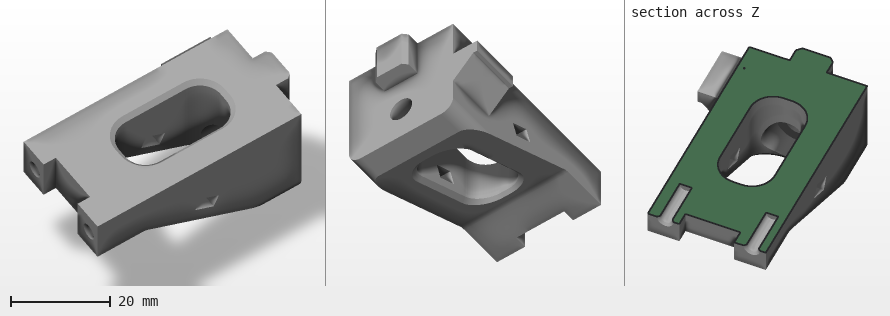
import cadquery as cq
import math


body_width = 26.0
body_length = 49.7
body_height = 25.0
thin_end_height = 10.0
ramp_length = 32.0
heel_length = 6.0
heel_corner_radius = 3.0
ramp_blend_radius = 3.0
mid_x = body_width / 2
ramp_angle = math.degrees(math.atan((body_height - thin_end_height) / ramp_length))
ramp_start_y = body_length - heel_length - ramp_length

window_width = 12.0
window_corner_radius = 5.0
window_start_y = 15.0
wall_behind_window = 10.0
window_chamfer = 1.0
window_end_y = body_length - wall_behind_window
window_length = window_end_y - window_start_y

notch_width = window_width
notch_depth = 3.0

tongue_width = 8.2
tongue_length = 4.0
tongue_height = 9.0
tongue_chamfer = 1.0

lug_reach = 6.0
lug_length = 12.0
lug_top_drop = 9.0
lug_lip_drop = 12.0
lug_lip_width = 1.0
lug_root_drop = lug_lip_drop + lug_reach - lug_lip_width

bolt_diameter = 5.5
bolt_head_diameter = 10.0
bolt_head_depth = 5.0
bolt_drop = 17.0

screw_diameter = 2.6
screw_mouth_diameter = 3.6
screw_depth = 10.0
screw_drop = thin_end_height / 2
screw_positions_x = (3.9, 22.9)

cross_slot_length = 5.0
cross_slot_height = 3.0
cross_slot_y = body_length - 23.0
cross_slot_drop = 12.1


def make_body():
    """Block with a ramped underside, rounded lower edges and a soft crease at the ramp start."""
    block = (
        cq.Workplane("YZ")
        .polyline([
            (0, 0),
            (body_length, 0),
            (body_length, -body_height),
            (body_length - heel_length, -body_height),
            (ramp_start_y, -thin_end_height),
            (0, -thin_end_height),
        ])
        .close()
        .extrude(body_width)
    )
    ramp_crease = cq.selectors.NearestToPointSelector((mid_x, ramp_start_y, -thin_end_height))
    block = block.edges(ramp_crease).fillet(ramp_blend_radius)
    heel_sides = block.faces("<Z").edges("|Y")
    return heel_sides.fillet(heel_corner_radius)


def cut_window(body):
    """Cut the rounded window through the full height and chamfer both of its mouths."""
    window = (
        cq.Workplane("XY")
        .box(window_width, window_length, body_height, centered=(True, False, False))
        .edges("|Z")
        .fillet(window_corner_radius)
        .translate((mid_x, window_start_y, -body_height))
    )
    around_window = cq.selectors.BoxSelector(
        (mid_x - window_width / 2 - window_chamfer, window_start_y - window_chamfer, -body_height),
        (mid_x + window_width / 2 + window_chamfer, window_end_y + window_chamfer, window_chamfer),
    )
    vertical = cq.selectors.ParallelDirSelector(cq.Vector(0, 0, 1))
    return body.cut(window).edges(around_window - vertical).chamfer(window_chamfer)


def make_notch():
    """Cutter for the open notch in the middle of the thin end."""
    notch = cq.Workplane("XY").box(
        notch_width, notch_depth, body_height, centered=(True, False, False)
    )
    return notch.translate((mid_x, 0, -body_height))


def make_tongue():
    """Tongue on the tall end, flush with the top, with chamfered outer corners."""
    return (
        cq.Workplane("XY")
        .box(tongue_width, tongue_length, tongue_height, centered=(True, False, False))
        .edges("|Z and >Y")
        .chamfer(tongue_chamfer)
        .translate((mid_x, body_length, -tongue_height))
    )


def make_lug():
    """Side lug, flush with the tall end, with a sloped underside behind a flat lip."""
    return (
        cq.Workplane("XZ", origin=(0, body_length, 0))
        .polyline([
            (0, -lug_top_drop),
            (-lug_reach, -lug_top_drop),
            (-lug_reach, -lug_lip_drop),
            (-lug_reach + lug_lip_width, -lug_lip_drop),
            (0, -lug_root_drop),
        ])
        .close()
        .extrude(lug_length)
    )


def make_bolt_hole():
    """Cutter for the bolt hole with its head recess opening into the window."""
    head_seat_y = window_end_y + bolt_head_depth
    shank = (
        cq.Workplane("XZ", origin=(mid_x, body_length, -bolt_drop))
        .circle(bolt_diameter / 2)
        .extrude(wall_behind_window)
    )
    head = (
        cq.Workplane("XZ", origin=(mid_x, head_seat_y, -bolt_drop))
        .circle(bolt_head_diameter / 2)
        .extrude(bolt_head_depth + window_corner_radius)
    )
    return shank.union(head)


def make_screw_hole(x):
    """Cutter for a blind screw hole in the thin end with a 45 degree countersunk mouth."""
    countersink_depth = (screw_mouth_diameter - screw_diameter) / 2
    return (
        cq.Workplane("XY")
        .polyline([
            (0, 0),
            (screw_mouth_diameter / 2, 0),
            (screw_diameter / 2, countersink_depth),
            (screw_diameter / 2, screw_depth),
            (0, screw_depth),
        ])
        .close()
        .revolve(360, (0, 0, 0), (0, 1, 0))
        .translate((x, 0, -screw_drop))
    )


def make_cross_slot():
    """Cutter for the rectangular slot across the full width, tilted parallel to the ramp."""
    return (
        cq.Workplane("YZ", origin=(0, cross_slot_y, -cross_slot_drop))
        .transformed(rotate=(0, 0, -ramp_angle))
        .rect(cross_slot_length, cross_slot_height)
        .extrude(body_width)
    )


part = cut_window(make_body())
part = part.union(make_tongue()).union(make_lug())
part = part.cut(make_notch()).cut(make_bolt_hole()).cut(make_cross_slot())
for screw_x in screw_positions_x:
    part = part.cut(make_screw_hole(screw_x))

result = part